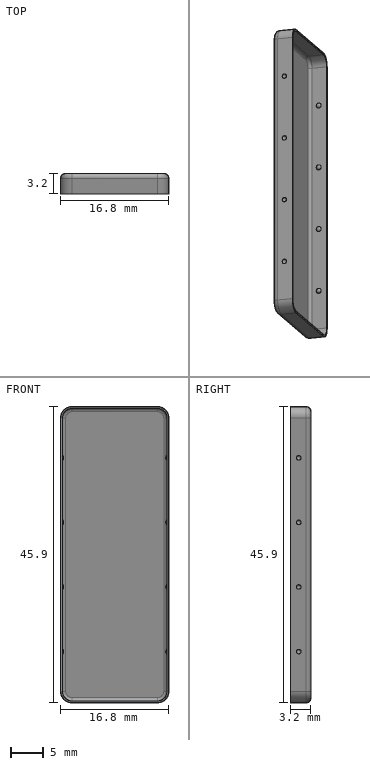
import cadquery as cq
import math

width = 16.8
depth = 3.2
height = 45.9

wall = 0.3
corner_radius = 1.8
floor_edge_radius = 0.8

dimple_count = 4
dimple_pitch = 10.0
dimple_from_rim = 1.3
dimple_radius = 0.35
bump_radius = 0.4
dimple_depth = 0.2


def rounded_block(inset):
    """Tray envelope shrunk by inset on every side except the open rim."""
    return (
        cq.Workplane("XZ")
        .rect(width - 2 * inset, height - 2 * inset)
        .extrude(-(depth - inset))
        .edges("|Y")
        .fillet(corner_radius - inset)
        .faces(">Y")
        .edges()
        .fillet(floor_edge_radius - inset)
    )


def dome_cap(side, face_x, z, base_radius):
    """Spherical cap rising inward from the plane x = side * face_x."""
    base_x = side * face_x
    apex_x = side * (face_x - dimple_depth)
    sphere_radius = (base_radius**2 + dimple_depth**2) / (2 * dimple_depth)
    centre_x = side * (face_x - dimple_depth + sphere_radius)
    half_angle = math.asin(base_radius / sphere_radius) / 2
    middle_x = centre_x - side * sphere_radius * math.cos(half_angle)
    middle_y = sphere_radius * math.sin(half_angle)
    return (
        cq.Workplane("XY")
        .moveTo(base_x, 0)
        .lineTo(base_x, base_radius)
        .threePointArc((middle_x, middle_y), (apex_x, 0))
        .close()
        .revolve(360, (0, 0, 0), (1, 0, 0))
        .translate((0, dimple_from_rim, z))
    )


tray = rounded_block(0).cut(rounded_block(wall))

first_z = -dimple_pitch * (dimple_count - 1) / 2
for side in (-1, 1):
    for index in range(dimple_count):
        z = first_z + index * dimple_pitch
        tray = tray.union(dome_cap(side, width / 2 - wall, z, bump_radius))
        tray = tray.cut(dome_cap(side, width / 2, z, dimple_radius))

result = tray